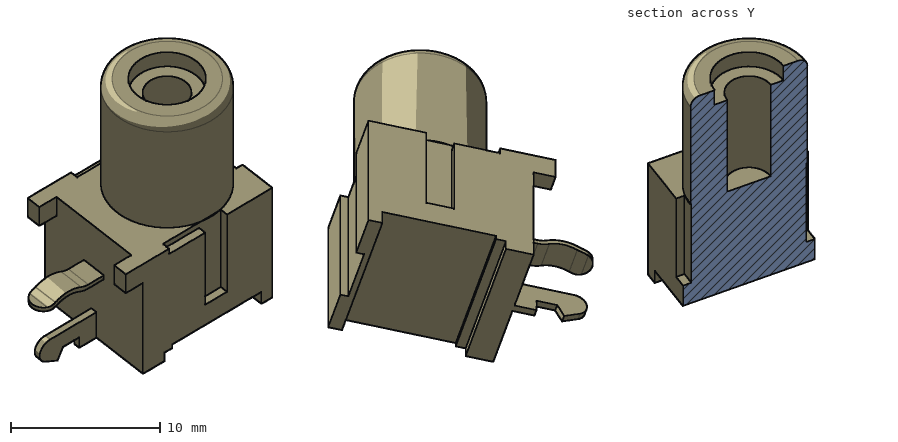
import math

import cadquery as cq


overall_length = 16.99

width = 10.01
half_width = width / 2
height = 10.0
back_y = 5.0
front_y = -6.5

ear_width = 1.19
ear_height = 1.72
ear_length = 1.53

back_notch_width = 3.92
back_notch_depth = 0.55

slot_depth = 0.63
slot_half_width = 0.97
slot_floor_z = 2.96
rebate_front_y = -4.17
rebate_height = 0.48

back_foot_length = 0.97
recess_back_y = back_y - back_foot_length
recess_height = 1.1
recess_front_y = -3.88
step_height = 0.77
step_front_y = -4.57

overall_height = 19.51
barrel_height = overall_height - height
barrel_radius = 4.45
barrel_rounding = 0.75
counterbore_radius = 2.6
counterbore_depth = 1.3
bore_radius = 1.64

terminal_width = 2.03
terminal_thickness = 0.36
terminal_z = 5.85
terminal_tip_y = back_y - overall_length
crest_y = -9.66
crest_half_length = 1.14
crest_bend_run = 0.64
crest_rise = 0.43

latch_thickness = 0.52
latch_top_z = 2.33
latch_nose_radius = 0.94
latch_nose_y = -11.55
latch_foot_front_y = front_y - ear_length
latch_gap_height = 0.95
barb_angle = math.radians(27)


def box(x_range, y_range, z_range):
    """Axis-aligned block given by its lower and upper limits."""
    size = [upper - lower for lower, upper in (x_range, y_range, z_range)]
    corner = (x_range[0], y_range[0], z_range[0])
    return cq.Workplane("XY").box(*size, centered=False).translate(corner)


def extrude_across(profile, thickness):
    """Extrude a (Y, Z) profile symmetrically about the X = 0 plane."""
    return profile.close().extrude(thickness / 2, both=True)


def make_housing():
    full_x = (-half_width, half_width)
    housing = box(full_x, (front_y, back_y), (0, height))

    notch_x = (-back_notch_width / 2, back_notch_width / 2)
    housing = housing.cut(box(notch_x, (back_y - back_notch_depth, back_y), (0, height)))
    housing = housing.cut(box(full_x, (recess_front_y, recess_back_y), (0, recess_height)))
    housing = housing.cut(box(full_x, (step_front_y, recess_front_y), (0, step_height)))

    ear = box(
        (half_width - ear_width, half_width),
        (front_y - ear_length, front_y),
        (height - ear_height, height),
    )
    slot_x = (half_width - slot_depth, half_width)
    slot = box(slot_x, (-slot_half_width, slot_half_width), (slot_floor_z, height))
    rebate = box(slot_x, (rebate_front_y, -slot_half_width), (height - rebate_height, height))
    side_cut = slot.union(rebate)
    housing = housing.union(ear).union(ear.mirror("YZ"))
    return housing.cut(side_cut).cut(side_cut.mirror("YZ"))


def make_barrel():
    barrel = cq.Workplane("XY").workplane(offset=height).circle(barrel_radius).extrude(barrel_height)
    return barrel.faces(">Z").edges().fillet(barrel_rounding)


def cut_sockets(body):
    """Counterbored socket, its bore ending level with the top of the housing."""
    top = cq.Workplane("XY").workplane(offset=overall_height)
    body = body.cut(top.circle(counterbore_radius).extrude(-counterbore_depth))
    return body.cut(top.circle(bore_radius).extrude(-barrel_height))


def make_terminal():
    """Flat strip with a crest of tangent arcs and a round tip."""
    flank_angle = 2 * math.atan(crest_rise / (crest_half_length + crest_bend_run))
    crest_radius = crest_half_length / math.sin(flank_angle)
    bend_radius = crest_bend_run / math.sin(flank_angle)
    top_z = terminal_z + terminal_thickness
    crest_center_z = top_z + crest_rise - crest_radius
    bend_center_z = top_z + bend_radius
    bend_offset = crest_half_length + crest_bend_run

    def crest_point(side, angle, inset):
        radius = crest_radius - inset
        return (crest_y + side * radius * math.sin(angle), crest_center_z + radius * math.cos(angle))

    def bend_point(side, angle, inset):
        radius = bend_radius + inset
        y = crest_y + side * (bend_offset - radius * math.sin(angle))
        return (y, bend_center_z - radius * math.cos(angle))

    def trace_crest(profile, side, inset):
        """Trace the crest from the given side to the other one."""
        half_angle = flank_angle / 2
        profile = profile.lineTo(*bend_point(side, 0, inset))
        profile = profile.threePointArc(
            bend_point(side, half_angle, inset), crest_point(side, flank_angle, inset)
        )
        profile = profile.threePointArc(
            crest_point(side, 0, inset), crest_point(-side, flank_angle, inset)
        )
        return profile.threePointArc(bend_point(-side, half_angle, inset), bend_point(-side, 0, inset))

    profile = cq.Workplane("YZ").moveTo(front_y, top_z)
    profile = trace_crest(profile, 1, 0)
    profile = profile.lineTo(terminal_tip_y, top_z).lineTo(terminal_tip_y, terminal_z)
    profile = trace_crest(profile, -1, terminal_thickness)
    strip = extrude_across(profile.lineTo(front_y, terminal_z), terminal_width)

    tip_radius = terminal_width / 2
    tip_center_y = terminal_tip_y + tip_radius
    outline = (
        cq.Workplane("XY")
        .moveTo(-tip_radius, front_y)
        .lineTo(-tip_radius, tip_center_y)
        .threePointArc((0, terminal_tip_y), (tip_radius, tip_center_y))
        .lineTo(tip_radius, front_y)
        .close()
        .extrude(height)
    )
    return strip.intersect(outline)


def make_latch():
    """Thin plate with a round nose and a downward barb."""
    center_y = latch_nose_y + latch_nose_radius
    center_z = latch_top_z - latch_nose_radius
    tangent_y = center_y - latch_nose_radius * math.sin(barb_angle)
    tangent_z = center_z - latch_nose_radius * math.cos(barb_angle)
    barb_y = tangent_y + tangent_z / math.tan(barb_angle)
    barb_root_y = barb_y + latch_gap_height * math.tan(barb_angle)

    profile = (
        cq.Workplane("YZ")
        .moveTo(front_y, 0)
        .lineTo(front_y, latch_top_z)
        .lineTo(center_y, latch_top_z)
        .threePointArc((latch_nose_y, center_z), (tangent_y, tangent_z))
        .lineTo(barb_y, 0)
        .lineTo(barb_root_y, latch_gap_height)
        .lineTo(latch_foot_front_y, latch_gap_height)
        .lineTo(latch_foot_front_y, 0)
    )
    return extrude_across(profile, latch_thickness)


body = make_housing().union(make_barrel())
result = cut_sockets(body).union(make_terminal()).union(make_latch())